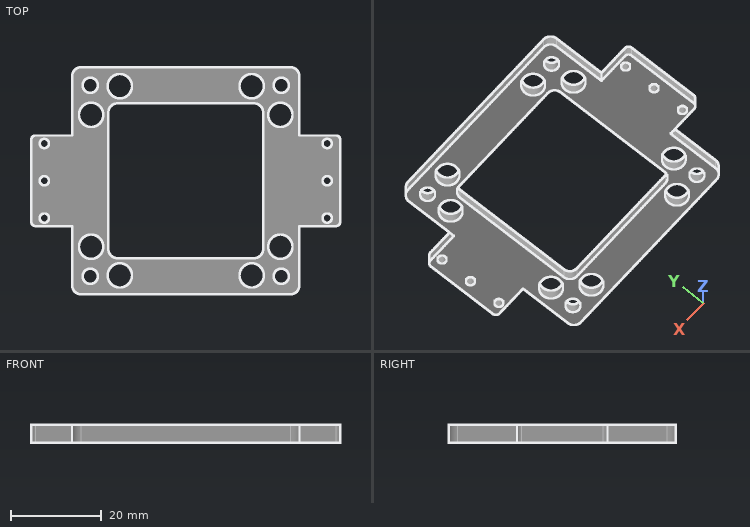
import cadquery as cq

thickness = 4.0
frame_side = 50.0
frame_corner_radius = 2.0
window_side = 34.0
window_corner_radius = 2.0

overall_length = 68.0
tab_width = 20.0
tab_corner_radius = 1.0
tab_hole_diameter = 2.0
tab_hole_x = 31.1
tab_hole_pitch = 8.2

screw_hole_diameter = 3.3
screw_hole_offset = 21.0
large_hole_diameter = 5.3
large_hole_near = 14.5
large_hole_far = 20.8


def rounded_plate(length, width, radius):
    """Plate centred on the Z axis, standing on Z = 0, with rounded corners."""
    plate = cq.Workplane("XY").rect(length, width).extrude(thickness)
    return plate.edges("|Z").fillet(radius)


def mirrored(x, y):
    """The point (x, y) repeated in all four quadrants."""
    return [(sx * x, sy * y) for sx in (-1, 1) for sy in (-1, 1)]


def through_holes(points, diameter):
    """Cylinders through the full thickness at the given points."""
    return cq.Workplane("XY").pushPoints(points).circle(diameter / 2).extrude(thickness)


frame = rounded_plate(frame_side, frame_side, frame_corner_radius)
tabs = rounded_plate(overall_length, tab_width, tab_corner_radius)
window = rounded_plate(window_side, window_side, window_corner_radius)
body = frame.union(tabs).cut(window)

tab_points = [
    (side * tab_hole_x, step * tab_hole_pitch)
    for side in (-1, 1)
    for step in (-1, 0, 1)
]
body = body.cut(through_holes(tab_points, tab_hole_diameter))

screw_points = mirrored(screw_hole_offset, screw_hole_offset)
large_points = mirrored(large_hole_near, large_hole_far) + mirrored(large_hole_far, large_hole_near)
body = body.cut(through_holes(screw_points, screw_hole_diameter))
body = body.cut(through_holes(large_points, large_hole_diameter))

result = body